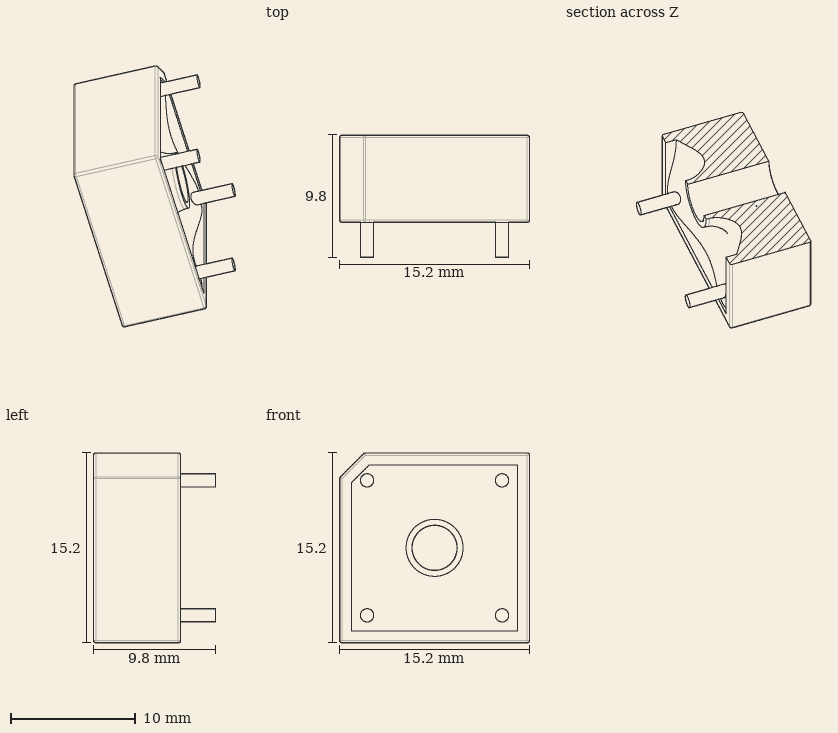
import cadquery as cq


case_side = 15.24
total_depth = 9.8
case_depth = 7.0
corner_cut = 2.0
edge_radius = 0.2

rim_width = 0.96
boss_radius = 2.29
hole_radius = 1.8

pin_radius = 0.53
pin_spacing = 10.82
pin_length = total_depth - case_depth

boss_contact_depth = 0.3
meniscus_radius = 2.75
meniscus_depth = 1.45
trough_radius = 3.58
trough_depth = 2.13
wall_depth = 0.91
corner_depth = 0.34

half_side = case_side / 2
cavity_half = half_side - rim_width
cavity_corner_radius = cavity_half * 2 ** 0.5


def case_outline():
    """Square with the upper left corner cut off, drawn in the XZ plane."""
    return (
        cq.Workplane("XZ")
        .moveTo(-half_side, -half_side)
        .lineTo(half_side, -half_side)
        .lineTo(half_side, half_side)
        .lineTo(-half_side + corner_cut, half_side)
        .lineTo(-half_side, half_side - corner_cut)
        .close()
    )


def make_case():
    return case_outline().extrude(-case_depth).edges().fillet(edge_radius)


def make_cavity():
    """Space above the potting: a revolved dish limited by the case walls."""
    walls = case_outline().offset2D(-rim_width).extrude(-case_depth)
    dish = (
        cq.Workplane("XY")
        .moveTo(boss_radius, 0)
        .lineTo(boss_radius, boss_contact_depth)
        .spline(
            [
                (meniscus_radius, meniscus_depth),
                (trough_radius, trough_depth),
                (cavity_half, wall_depth),
                (cavity_corner_radius, corner_depth),
            ],
            includeCurrent=True,
        )
        .lineTo(cavity_corner_radius, 0)
        .close()
        .revolve(360, (0, 0, 0), (0, 1, 0))
    )
    return dish.intersect(walls)


def make_hole():
    return cq.Workplane("XZ").circle(hole_radius).extrude(-case_depth)


def make_pins():
    """Four pins rooted in the potting at the deepest level of the dish."""
    return (
        cq.Workplane("XZ", origin=(0, trough_depth, 0))
        .rect(pin_spacing, pin_spacing, forConstruction=True)
        .vertices()
        .circle(pin_radius)
        .extrude(trough_depth + pin_length)
    )


result = make_case().cut(make_cavity()).cut(make_hole()).union(make_pins())